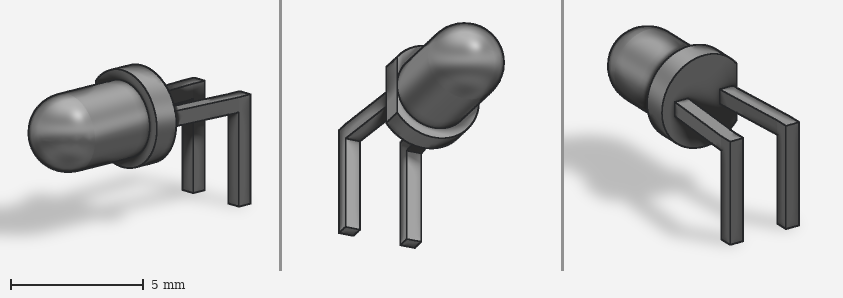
import cadquery as cq

lens_diameter = 3.0
lens_radius = lens_diameter / 2
lens_straight_length = 2.8
flange_diameter = 3.8
flange_thickness = 1.0
flat_offset = lens_radius

lead_size = 0.6
lead_pitch = 2.54
lead_root_pitch = 2.03
lead_reach = 4.11
lead_straight_length = lead_size
lead_drop = 3.99

flange_front = -flange_thickness
dome_start = flange_front - lens_straight_length


def make_lens():
    """Cylinder closed by a hemispherical dome."""
    dome_tip = dome_start - lens_radius
    arc_reach = lens_radius * 0.5**0.5
    return (
        cq.Workplane("XY")
        .moveTo(0, flange_front)
        .lineTo(lens_radius, flange_front)
        .lineTo(lens_radius, dome_start)
        .threePointArc((arc_reach, dome_start - arc_reach), (0, dome_tip))
        .close()
        .revolve(360, (0, 0, 0), (0, 1, 0))
    )


def make_flange():
    """Round flange with one flat marking the polarity."""
    disc = cq.Workplane("XZ").circle(flange_diameter / 2).extrude(flange_thickness)
    keep = cq.Workplane("XZ").rect(flange_diameter, flange_diameter).extrude(flange_thickness)
    shift = flange_diameter / 2 - flat_offset
    return disc.intersect(keep.translate((shift, 0, 0)))


def make_lead(side):
    """Lead that splays outward behind the flange, then bends straight down."""
    half = lead_size / 2
    root_x = side * lead_root_pitch / 2
    leg_x = side * lead_pitch / 2
    splay_end = lead_reach - lead_straight_length
    arm = (
        cq.Workplane("XY", origin=(0, 0, -half))
        .polyline(
            [
                (root_x - half, 0),
                (root_x + half, 0),
                (leg_x + half, splay_end),
                (leg_x + half, lead_reach),
                (leg_x - half, lead_reach),
                (leg_x - half, splay_end),
            ]
        )
        .close()
        .extrude(lead_size)
    )
    leg_height = half + lead_drop
    leg = cq.Workplane("XY").box(lead_size, lead_size, leg_height)
    leg = leg.translate((leg_x, lead_reach - half, half - leg_height / 2))
    return arm.union(leg)


result = make_flange().union(make_lens())
for side in (-1, 1):
    result = result.union(make_lead(side))